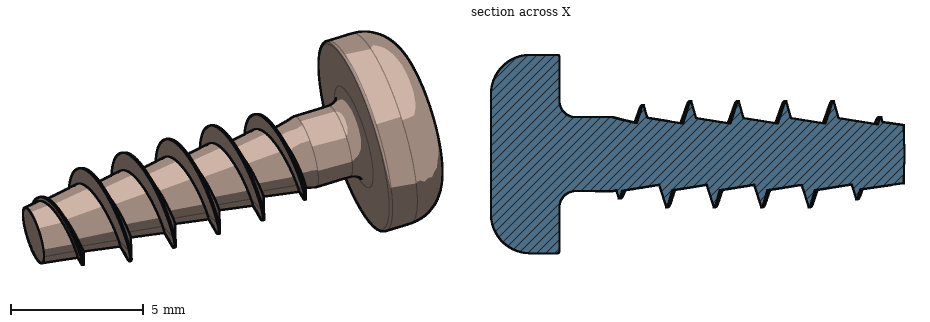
import cadquery as cq
import math


head_radius = 3.75
head_height = 2.6
head_dome_radius = 1.5
head_rim_fillet = 0.1

neck_radius = 1.4
neck_fillet = 0.6
neck_end = 1.98

screw_length = 12.99
tip_cone_height = 0.04
tip_edge_depth = screw_length - tip_cone_height
tip_radius = 1.1
tip_point_radius = 1.04
tip_point_overlap = 0.5
tip_taper = 0.143

pitch = 1.787
core_small_radius = 1.113

transition_length = 0.99
transition_end = neck_end + transition_length
transition_end_radius = 1.16

thread_start_angle = 180.0
thread_start_depth = 1.8
thread_trim_depth = 1.89
crest_radius = 2.0
crest_start_radius = 1.57
lead_in_rate = 0.38
run_out_start_turn = 4.75
run_out_rate = 0.6
crest_half_width = 0.03
flank_slope = 0.3
least_thread_height = 0.01

helix_start_turn = -1.5
helix_turn_count = 8
points_per_turn = 20


def revolve_outline(outline):
    """Revolve an outline of (Y, radius) points around the screw axis."""
    return outline.close().revolve(360, (0, 0, 0), (1, 0, 0))


def make_head_and_neck():
    diagonal = math.sqrt(0.5)
    dome_center_radius = head_radius - head_dome_radius
    dome_center_y = head_height - head_dome_radius
    dome_reach = head_dome_radius * diagonal
    dome_middle = (dome_center_y + dome_reach, dome_center_radius + dome_reach)
    rim_center_radius = head_radius - head_rim_fillet
    rim_middle = (head_rim_fillet * (1 - diagonal), rim_center_radius + head_rim_fillet * diagonal)
    neck_center_radius = neck_radius + neck_fillet
    neck_middle = (-neck_fillet * (1 - diagonal), neck_center_radius - neck_fillet * diagonal)
    outline = (
        cq.Workplane("YZ")
        .moveTo(head_height, 0)
        .lineTo(head_height, dome_center_radius)
        .threePointArc(dome_middle, (dome_center_y, head_radius))
        .lineTo(head_rim_fillet, head_radius)
        .threePointArc(rim_middle, (0, rim_center_radius))
        .lineTo(0, neck_center_radius)
        .threePointArc(neck_middle, (-neck_fillet, neck_radius))
        .lineTo(-neck_end, neck_radius)
        .lineTo(-transition_end, transition_end_radius)
        .lineTo(-transition_end, 0)
    )
    return revolve_outline(outline)


def core_radius_at(turn, offset):
    """Core radius at an axial offset (0 to one pitch) behind the thread, held inside the tip taper."""
    depth = thread_start_depth + pitch * turn + offset
    helical_radius = neck_radius - (neck_radius - core_small_radius) * offset / pitch
    taper_radius = tip_radius + tip_taper * (tip_edge_depth - depth)
    return min(helical_radius, taper_radius)


def crest_radius_at(turn):
    """Crest radius with its lead-in and run-out, never dropping below the core."""
    lead_in_radius = crest_start_radius + lead_in_rate * turn
    run_out_radius = crest_radius - run_out_rate * (turn - run_out_start_turn)
    least_radius = core_radius_at(turn, 0) + least_thread_height
    return max(min(crest_radius, lead_in_radius, run_out_radius), least_radius)


def root_half_width(turn, core_radius):
    """Half-width of the thread ridge where its flanks reach the given core radius."""
    return crest_half_width + flank_slope * (crest_radius_at(turn) - core_radius)


def helix_point(turn, radius, offset):
    """Point at a turn of the thread, shifted toward the tip by an axial offset."""
    angle = math.radians(thread_start_angle + 360 * turn)
    depth = thread_start_depth + pitch * turn + offset
    return cq.Vector(radius * math.cos(angle), -depth, radius * math.sin(angle))


def front_root_point(turn):
    """Foot of the thread flank that faces the head."""
    half_width = root_half_width(turn, core_radius_at(turn - 1, pitch))
    return helix_point(turn, core_radius_at(turn - 1, pitch - half_width), -half_width)


def front_crest_point(turn):
    return helix_point(turn, crest_radius_at(turn), -crest_half_width)


def back_crest_point(turn):
    return helix_point(turn, crest_radius_at(turn), crest_half_width)


def back_root_point(turn):
    """Foot of the thread flank that faces the tip."""
    half_width = root_half_width(turn, core_radius_at(turn, 0))
    return helix_point(turn, core_radius_at(turn, half_width), half_width)


def next_front_root_point(turn):
    return front_root_point(turn + 1)


PROFILE = [front_root_point, front_crest_point, back_crest_point, back_root_point, next_front_root_point]


def helical_edge(corner, start_turn):
    """Path of one profile corner over one turn."""
    turns = [start_turn + i / points_per_turn for i in range(points_per_turn + 1)]
    return cq.Edge.makeSpline([corner(turn) for turn in turns])


def on_axis(point):
    return cq.Vector(0, point.y, 0)


def end_faces(turn):
    """Close one end with a flat axial face and a one-turn helicoid reaching the axis."""
    section = [corner(turn) for corner in PROFILE]
    axis_start = on_axis(section[0])
    axis_end = on_axis(section[-1])
    flat_face = cq.Face.makeFromWires(cq.Wire.makePolygon(section + [axis_end, axis_start], close=True))
    axis_edge = cq.Edge.makeLine(axis_start, axis_end)
    helicoid = cq.Face.makeRuledSurface(helical_edge(front_root_point, turn), axis_edge)
    return [flat_face, helicoid]


def make_threaded_shank():
    """Helical thread and core as one closed shell, trimmed at the neck and the tip."""
    faces = end_faces(helix_start_turn) + end_faces(helix_start_turn + helix_turn_count)
    for i in range(helix_turn_count):
        edges = [helical_edge(corner, helix_start_turn + i) for corner in PROFILE]
        for first, second in zip(edges, edges[1:]):
            faces.append(cq.Face.makeRuledSurface(first, second))
    helix = cq.Workplane(cq.Solid.makeSolid(cq.Shell.makeShell(faces)).fix())
    trim_length = tip_edge_depth - thread_trim_depth
    trim = cq.Workplane("XZ", origin=(0, -thread_trim_depth, 0)).circle(head_radius).extrude(trim_length)
    return helix.intersect(trim)


def make_tip_point():
    base_y = -tip_edge_depth + tip_point_overlap
    outline = (
        cq.Workplane("YZ")
        .moveTo(base_y, 0)
        .lineTo(base_y, tip_point_radius)
        .lineTo(-tip_edge_depth, tip_point_radius)
        .lineTo(-screw_length, 0)
    )
    return revolve_outline(outline)


result = make_head_and_neck().union(make_threaded_shank()).union(make_tip_point())